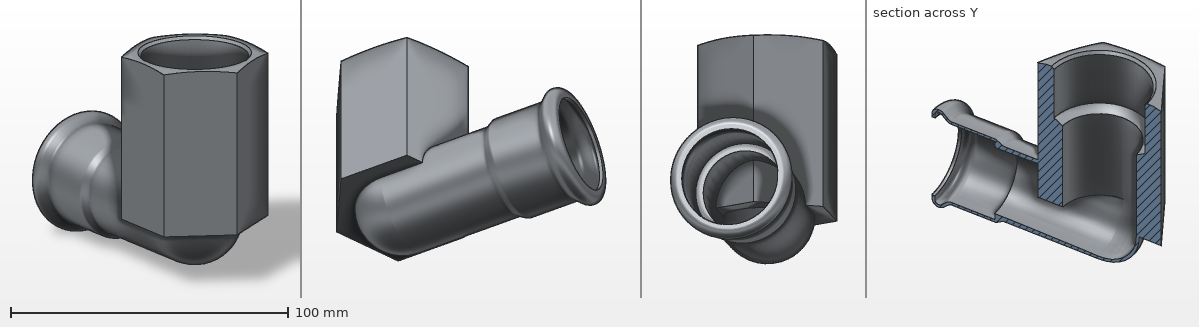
import cadquery as cq
import math

total_length = 98.6
hex_flats = 46.0
hex_corners = hex_flats / math.cos(math.radians(30))
hex_height = 62.1
elbow_x = total_length - hex_corners / 2

bead_radius = 22.3
bead_section = 6.0 / 2
socket_radius = 38.0 / 2
pipe_radius = 34.4 / 2
blend_radius = 2.0
bead_angle = math.radians(42)
neck_start = 27.0
neck_angle = math.radians(30)

wall_thickness = 1.4
socket_bore = socket_radius - wall_thickness
stop_bore = 29.9 / 2
pipe_bore = 31.5 / 2

thread_radius = 38.8 / 2
thread_mouth_radius = 41.0 / 2
thread_depth = 23.1
mouth_chamfer = thread_mouth_radius - thread_radius
seat_slope = math.radians(30)
seat_length = (thread_radius - pipe_bore) * math.tan(seat_slope)

bevel_radius = 45.8 / 2
bevel_angle = math.radians(15)


def revolve_about_pipe(profile):
    return profile.close().revolve(360, (0, 0, 0), (1, 0, 0))


def arc_point(center_x, center_r, radius, angle):
    """Point on a section arc; the angle is measured from the outward radial direction."""
    return center_x + radius * math.sin(angle), center_r + radius * math.cos(angle)


def socket_end_section(wall):
    """Bead, slope and socket section, set inside the outer surface by the given wall."""
    bead_r = bead_radius - bead_section
    section = bead_section - wall
    bead_end = arc_point(bead_section, bead_r, section, bead_angle)
    bead_middle = arc_point(bead_section, bead_r, section, (bead_angle - math.pi / 2) / 2)

    hollow_radius = blend_radius + wall
    hollow_r = socket_radius + blend_radius
    slope_end_r = hollow_r - hollow_radius * math.cos(bead_angle)
    slope_end_x = bead_end[0] + (bead_end[1] - slope_end_r) / math.tan(bead_angle)
    hollow_x = slope_end_x + hollow_radius * math.sin(bead_angle)

    return (
        cq.Workplane("XY")
        .moveTo(wall, 0)
        .lineTo(wall, bead_r)
        .threePointArc(bead_middle, bead_end)
        .lineTo(slope_end_x, slope_end_r)
        .threePointArc(
            arc_point(hollow_x, hollow_r, -hollow_radius, bead_angle / 2),
            (hollow_x, socket_radius - wall),
        )
    )


def add_elbow_end(section, radius):
    """Carry a section to the elbow and close it with a round end."""
    return (
        section.lineTo(elbow_x, radius)
        .threePointArc(arc_point(elbow_x, 0, radius, math.pi / 4), (elbow_x + radius, 0))
    )


def pipe_body():
    shoulder_r = socket_radius - blend_radius
    neck_r = pipe_radius + blend_radius
    cone_start = arc_point(neck_start, shoulder_r, blend_radius, neck_angle)
    cone_end_r = neck_r - blend_radius * math.cos(neck_angle)
    cone_end_x = cone_start[0] + (cone_start[1] - cone_end_r) / math.tan(neck_angle)
    neck_end = cone_end_x + blend_radius * math.sin(neck_angle)

    section = (
        socket_end_section(0)
        .lineTo(neck_start, socket_radius)
        .threePointArc(arc_point(neck_start, shoulder_r, blend_radius, neck_angle / 2), cone_start)
        .lineTo(cone_end_x, cone_end_r)
        .threePointArc(
            arc_point(neck_end, neck_r, -blend_radius, neck_angle / 2),
            (neck_end, pipe_radius),
        )
    )
    return revolve_about_pipe(add_elbow_end(section, pipe_radius))


def pipe_cavity():
    section = (
        socket_end_section(wall_thickness)
        .lineTo(neck_start, socket_bore)
        .lineTo(neck_start, stop_bore)
    )
    cavity = revolve_about_pipe(add_elbow_end(section, pipe_bore))
    mouth = cq.Workplane("YZ").circle(socket_bore).extrude(neck_start)
    return cavity.union(mouth)


def hex_body():
    prism = cq.Workplane("XY").center(elbow_x, 0).polygon(6, hex_corners).extrude(hex_height)
    corner_radius = hex_corners / 2
    bevel_drop = (corner_radius - bevel_radius) * math.tan(bevel_angle)
    envelope = (
        cq.Workplane("XZ")
        .lineTo(corner_radius, 0)
        .lineTo(corner_radius, hex_height - bevel_drop)
        .lineTo(bevel_radius, hex_height)
        .lineTo(0, hex_height)
        .close()
        .revolve(360, (0, 0, 0), (0, 1, 0))
        .translate((elbow_x, 0, 0))
    )
    return prism.intersect(envelope)


def hex_cavity():
    seat_top = hex_height - thread_depth
    return (
        cq.Workplane("XZ")
        .lineTo(pipe_bore, 0)
        .lineTo(pipe_bore, seat_top - seat_length)
        .lineTo(thread_radius, seat_top)
        .lineTo(thread_radius, hex_height - mouth_chamfer)
        .lineTo(thread_mouth_radius, hex_height)
        .lineTo(0, hex_height)
        .close()
        .revolve(360, (0, 0, 0), (0, 1, 0))
        .translate((elbow_x, 0, 0))
    )


hollow_pipe = pipe_body().cut(pipe_cavity())
result = hollow_pipe.union(hex_body()).cut(hex_cavity())